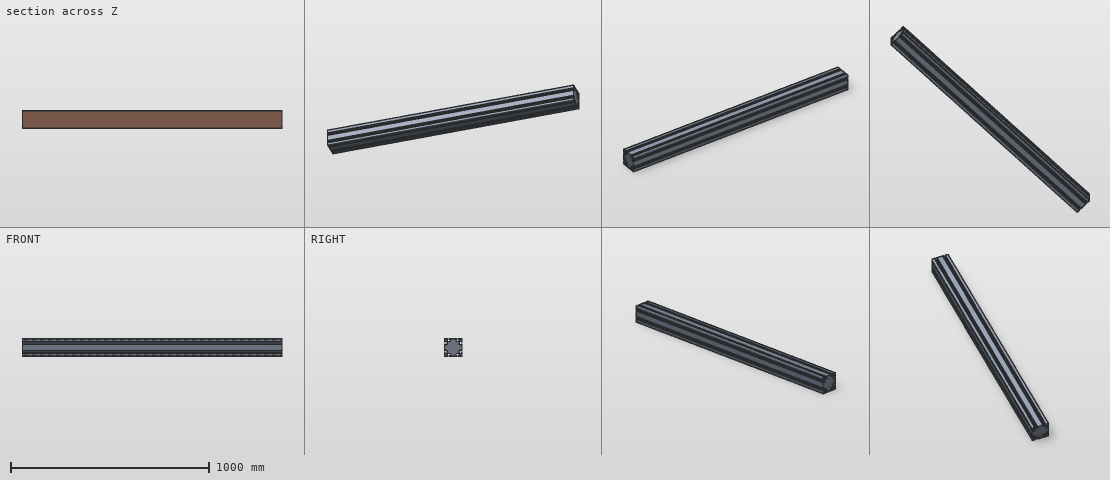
import cadquery as cq

length = 1310.0
side = 90.0
corner_radius = 2.5
side_count = 4
slots_per_side = 2
slot_pitch = side / slots_per_side

opening_width = 8.2
mouth_radius = 0.3
lip_thickness = 4.5
chamber_width = 15.5
slot_depth = 14.3
floor_chamfer = 2.2

face_level = side / 2
first_slot_offset = -slot_pitch * (slots_per_side - 1) / 2


def square_bar():
    """Solid bar centred on the origin, with its long edges rounded."""
    return cq.Workplane("XY").box(length, side, side).edges("|X").fillet(corner_radius)


def slot_cutter(offset):
    """T-slot running the full length, open to the +Z side and centred at Y = offset."""
    half_opening = opening_width / 2
    half_chamber = chamber_width / 2
    half_floor = half_chamber - floor_chamfer
    half_mouth = half_opening + mouth_radius
    mouth_level = face_level - mouth_radius
    lip_level = face_level - lip_thickness
    floor_level = face_level - slot_depth
    chamfer_level = floor_level + floor_chamfer
    return (
        cq.Workplane("YZ", origin=(-length / 2, 0, 0))
        .moveTo(offset - half_mouth, face_level)
        .radiusArc((offset - half_opening, mouth_level), mouth_radius)
        .lineTo(offset - half_opening, lip_level)
        .lineTo(offset - half_chamber, lip_level)
        .lineTo(offset - half_chamber, chamfer_level)
        .lineTo(offset - half_floor, floor_level)
        .lineTo(offset + half_floor, floor_level)
        .lineTo(offset + half_chamber, chamfer_level)
        .lineTo(offset + half_chamber, lip_level)
        .lineTo(offset + half_opening, lip_level)
        .lineTo(offset + half_opening, mouth_level)
        .radiusArc((offset + half_mouth, face_level), mouth_radius)
        .close()
        .extrude(length)
    )


def cut_slots(bar):
    """Cut the T-slots into each of the long sides."""
    side_angle = 360 / side_count
    for side_index in range(side_count):
        for slot_index in range(slots_per_side):
            cutter = slot_cutter(first_slot_offset + slot_index * slot_pitch)
            bar = bar.cut(cutter.rotate((0, 0, 0), (1, 0, 0), side_index * side_angle))
    return bar


result = cut_slots(square_bar())